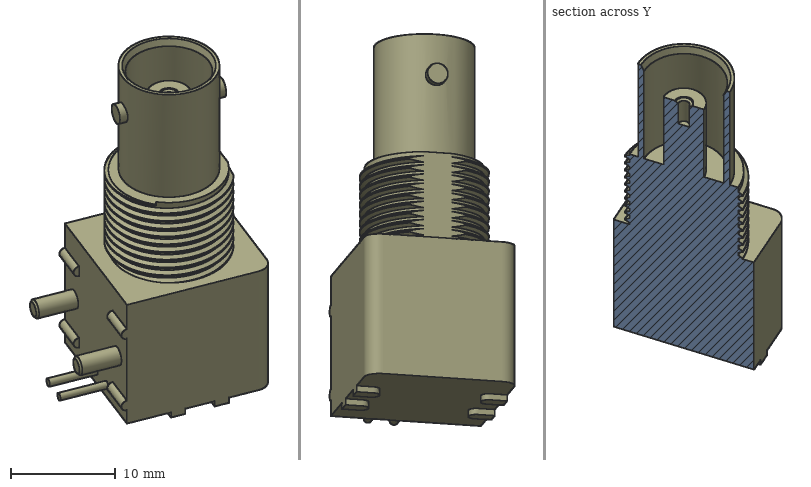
import cadquery as cq


body_width = 14.7
body_depth = 15.23
body_corner_radius = 1.5
foot_height = 0.6
body_top = 14.5
front_face = -body_depth / 2
side_face = body_width / 2

foot_width = 1.5
foot_reach = 2.4
left_foot_offset = 2.55
right_foot_offset = 2.27

thread_top = 23.55
thread_core_radius = 5.7
thread_crest_radius = 6.18
thread_turns = 10
thread_runout_turns = 0.1
thread_pitch = (thread_top - body_top) / thread_turns
thread_root_width = 0.78
thread_crest_width = 0.15
thread_overlap = 0.15
collar_flat = 5.55

total_height = 35.5
barrel_radius = 4.83
bore_radius = 4.15
bore_mouth_radius = 4.47
bore_mouth_depth = 0.67
lug_radius = 1.0
lug_reach = 5.55
lug_z = 31.4

insulator_radius = 2.13
insulator_top = 32.25
contact_gap_radius = 0.92
contact_gap_depth = 0.07
contact_lead_radius = 0.85
contact_lead_depth = 0.15
contact_hole_radius = 0.57
contact_hole_depth = 2.85

rib_radius = 0.57
rib_length = 3.37
rib_heights = (2.75, 11.08)
post_radius = 0.95
post_length = 4.3
post_chamfer = 0.2
post_spacing = 10.22
post_z = 7.1
pin_length = 4.97
pin_z = 2.05
centre_pin_radius = 0.43
ground_pin_radius = 0.4
ground_pin_x = 2.55


def z_cylinder(radius, bottom, top):
    return cq.Workplane("XY").workplane(offset=bottom).circle(radius).extrude(top - bottom)


def z_cone(bottom_radius, top_radius, bottom, top):
    cone = cq.Solid.makeCone(bottom_radius, top_radius, top - bottom, pnt=cq.Vector(0, 0, bottom))
    return cq.Workplane(obj=cone)


def front_rod(radius, x, z, start_y, end_y):
    """Round rod along Y, from start_y towards the front at end_y."""
    plane = cq.Plane(origin=(x, start_y, z), xDir=(1, 0, 0), normal=(0, -1, 0))
    return cq.Workplane(plane).circle(radius).extrude(start_y - end_y)


def make_housing():
    block = (
        cq.Workplane("XY")
        .workplane(offset=foot_height)
        .rect(body_width, body_depth)
        .extrude(body_top - foot_height)
    )
    return block.edges("|Z and >Y").fillet(body_corner_radius)


def make_foot(side, y):
    """One foot; side is -1 for the left edge of the housing and +1 for the right edge."""
    half_width = foot_width / 2
    edge_x = side * side_face
    arc_x = side * (side_face - foot_reach + half_width)
    tip_x = side * (side_face - foot_reach)
    return (
        cq.Workplane("XY")
        .moveTo(edge_x, y - half_width)
        .lineTo(arc_x, y - half_width)
        .threePointArc((tip_x, y), (arc_x, y + half_width))
        .lineTo(edge_x, y + half_width)
        .close()
        .extrude(foot_height)
    )


def make_thread_ridge():
    """Right-handed helical ridge that starts one turn below the collar and stops short of +X."""
    root_radius = thread_core_radius - thread_overlap
    half_root = thread_root_width / 2
    half_crest = thread_crest_width / 2
    helix_height = thread_pitch * (thread_turns + 1 - thread_runout_turns)
    helix = cq.Wire.makeHelix(thread_pitch, helix_height, thread_core_radius)
    ridge = (
        cq.Workplane("XZ")
        .moveTo(root_radius, -half_root)
        .lineTo(thread_crest_radius, -half_crest)
        .lineTo(thread_crest_radius, half_crest)
        .lineTo(root_radius, half_root)
        .close()
        .sweep(cq.Workplane(obj=helix), isFrenet=True)
    )
    return ridge.translate((0, 0, body_top - thread_pitch))


def make_collar():
    """Threaded collar, trimmed at both ends and by the flat along its back."""
    front_reach = 2 * thread_crest_radius
    envelope = (
        cq.Workplane("XY")
        .box(2 * front_reach, front_reach + collar_flat, thread_top - body_top, centered=(True, False, False))
        .translate((0, -front_reach, body_top))
    )
    core = z_cylinder(thread_core_radius, body_top, thread_top).intersect(envelope)
    ridge = make_thread_ridge().intersect(envelope)
    return core.union(ridge)


def make_barrel():
    barrel = z_cylinder(barrel_radius, thread_top, total_height)
    for lug_end in (-lug_reach, lug_reach):
        barrel = barrel.union(front_rod(lug_radius, 0, lug_z, max(0, lug_end), min(0, lug_end)))
    mouth_bottom = total_height - bore_mouth_depth
    bore = z_cylinder(bore_radius, thread_top, total_height)
    mouth = z_cone(bore_radius, bore_mouth_radius, mouth_bottom, total_height)
    return barrel.cut(bore).cut(mouth)


def make_insulator():
    """Central insulator with the open end of the socket contact in its top face."""
    lead_top = insulator_top - contact_gap_depth
    lead_bottom = lead_top - contact_lead_depth
    insulator = z_cylinder(insulator_radius, thread_top, insulator_top)
    gap = z_cylinder(contact_gap_radius, lead_top, insulator_top)
    lead_in = z_cone(contact_hole_radius, contact_lead_radius, lead_bottom, lead_top)
    hole = z_cylinder(contact_hole_radius, insulator_top - contact_hole_depth, insulator_top)
    return insulator.cut(gap).cut(lead_in).cut(hole)


def make_rib(side, z):
    """Standoff rib with a half-round section, running inward from one side of the front face."""
    rib = (
        cq.Workplane("YZ")
        .center(front_face, z)
        .circle(rib_radius)
        .extrude(rib_length)
    )
    start_x = -side_face if side < 0 else side_face - rib_length
    return rib.translate((start_x, 0, 0))


def make_post(x):
    post = front_rod(post_radius, x, post_z, front_face, front_face - post_length)
    return post.faces("<Y").chamfer(post_chamfer)


def make_pin(radius, x):
    return front_rod(radius, x, pin_z, front_face, front_face - pin_length)


result = make_housing().union(make_collar()).union(make_barrel()).union(make_insulator())

for side in (-1, 1):
    foot_offset = left_foot_offset if side < 0 else right_foot_offset
    for foot_y in (-foot_offset, foot_offset):
        result = result.union(make_foot(side, foot_y))
    for rib_z in rib_heights:
        result = result.union(make_rib(side, rib_z))
    result = result.union(make_post(side * post_spacing / 2))

result = result.union(make_pin(centre_pin_radius, 0))
result = result.union(make_pin(ground_pin_radius, ground_pin_x))